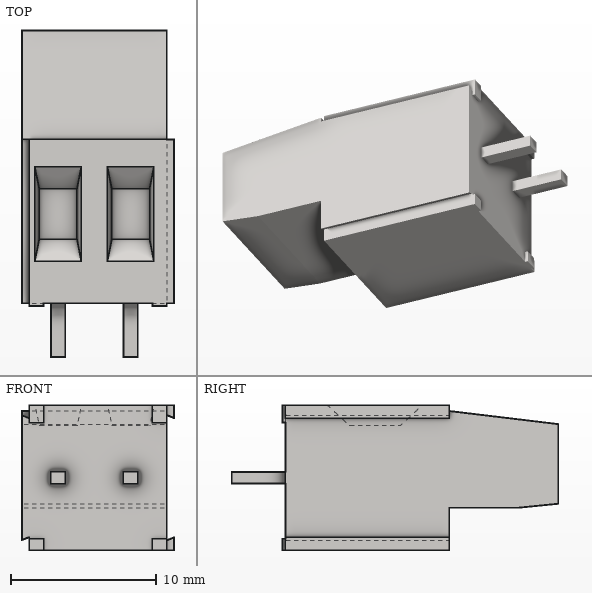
import cadquery as cq


body_width = 10.0
body_height = 10.0
body_length = 11.3

rear_length = 7.5
rear_end_top = 8.7
rear_step_top = 9.6
rear_floor = 2.93
rear_end_floor = 3.2
rear_floor_taper_length = 2.7

rail_width = 0.5
rail_root_height = 0.7
rail_lip_height = 0.9

tab_width = 1.0
tab_thickness = 0.2
top_tab_height = 1.2
bottom_tab_height = 0.8

pole_count = 2
pole_pitch = 5.0
pin_width = 1.0
pin_height = 0.8
pin_length = 3.7

pocket_depth = 1.4
pocket_width = 3.2
pocket_length = 6.5
pocket_floor_width = 2.6
pocket_floor_length = 3.5
pocket_center_y = 6.15

pole_centers = [
    body_width / 2 + (i - (pole_count - 1) / 2) * pole_pitch for i in range(pole_count)
]


def box(x, y, z, width, length, height):
    """Box with its lowest corner at (x, y, z)."""
    return cq.Workplane("XY").box(width, length, height, centered=False).translate((x, y, z))


def rear_block():
    """Rear block: side outline in the YZ plane, extruded across the width."""
    rear_end = body_length + rear_length
    outline = [
        (body_length, rear_floor),
        (rear_end - rear_floor_taper_length, rear_floor),
        (rear_end, rear_end_floor),
        (rear_end, rear_end_top),
        (body_length, rear_step_top),
    ]
    return cq.Workplane("YZ").polyline(outline).close().extrude(body_width)


def bottom_rail(x, left_height, right_height):
    """Bar along the bottom edge of the body with a sloping top, starting at x."""
    outline = [
        (x, 0),
        (x + rail_width, 0),
        (x + rail_width, right_height),
        (x, left_height),
    ]
    return cq.Workplane("XZ").polyline(outline).close().extrude(-body_length)


def with_top_copy(bar):
    """The bar together with its mirror image about the body's mid-height."""
    return bar.union(bar.mirror("XY", (0, 0, body_height / 2)))


def corner_tabs():
    """Four thin tabs at the front corners, between the grooves and the rails."""
    tabs = cq.Workplane("XY")
    for x in (rail_width, body_width - tab_width):
        for z, height in ((0, bottom_tab_height), (body_height - top_tab_height, top_tab_height)):
            tabs = tabs.add(box(x, -tab_thickness, z, tab_width, tab_thickness, height))
    return tabs.combine()


def pin(center_x):
    """Straight rectangular pin at mid-height of the front face."""
    return box(
        center_x - pin_width / 2, -pin_length, (body_height - pin_height) / 2,
        pin_width, pin_length, pin_height,
    )


def screw_pocket(center_x):
    """Tapered pocket, narrowing from the top face to its floor."""
    return (
        cq.Workplane("XY", origin=(center_x, pocket_center_y, body_height - pocket_depth))
        .rect(pocket_floor_width, pocket_floor_length)
        .workplane(offset=pocket_depth)
        .rect(pocket_width, pocket_length)
        .loft(ruled=True)
    )


result = box(0, 0, 0, body_width, body_length, body_height)
result = result.cut(with_top_copy(bottom_rail(0, rail_root_height, rail_lip_height)))
result = result.union(with_top_copy(bottom_rail(body_width, rail_root_height, rail_lip_height)))
result = result.union(rear_block())
result = result.union(corner_tabs())
for pole_x in pole_centers:
    result = result.union(pin(pole_x))
    result = result.cut(screw_pocket(pole_x))